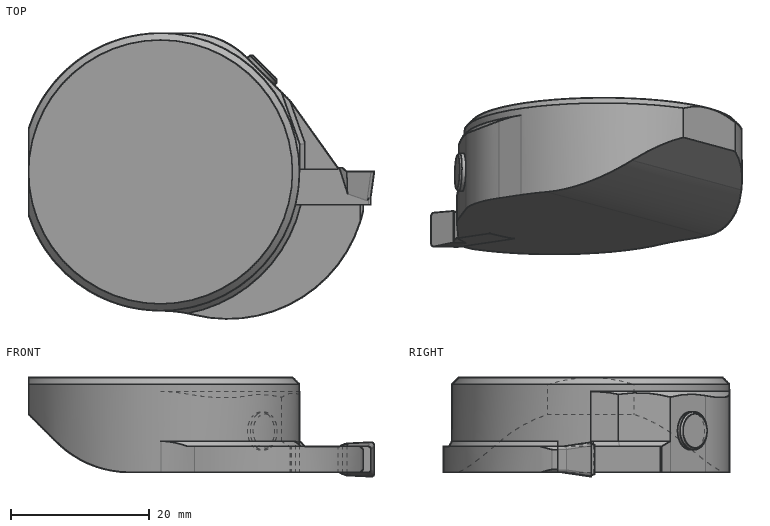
import cadquery as cq
import math

disc_radius = 20.0
disc_height = 13.7
disc_chamfer = 1.0

flat_x = -19.0
flat_bottom_z = 8.4
relief_radius = 15.0

wing_thickness = 3.75
wing_radius = 20.0
wing_low_y = -21.19
wing_end_x = 29.2
wing_end_chamfer = 0.45
wing_back_corner = (25.6, 0.5)
foot_chamfer = 0.75

shoulder_arc_radius = 12.0
shoulder_face_offset = 20.42
shoulder_drop = 1.0
shoulder_bend_x = 18.8
shoulder_wall_x = 20.05
shoulder_wall_top_y = 4.0
shoulder_wall_end = (17.4, 11.5)

boss_diameter = 5.5
boss_height = 0.85
boss_edge_chamfer = 0.3
boss_z = 6.0

shank_low_y = -4.75
shank_high_y = 0.4
shank_end_x = 30.3
shank_corner_radius = 0.4
tip_width = 5.04
tip_end_x = 30.8
tip_back_x = 25.75
tip_shoulder_x = 26.8
tip_shoulder_drop = 0.2
tip_corner_radius = 0.5
rake_y = 0.07
tip_relief_angle = 8.0
rib_top_y = 0.6
rib_left_x = 25.5
rib_right_x = 26.2

mid_z = wing_thickness / 2
diagonal = math.sqrt(0.5)


def chamfered_disc(radius, height, edge_radius):
    """Disc whose top edge slopes at 45 degrees from edge_radius outwards."""
    slope = radius - edge_radius
    return (
        cq.Workplane("XZ")
        .moveTo(0, 0)
        .lineTo(radius, 0)
        .lineTo(radius, height - slope)
        .lineTo(edge_radius, height)
        .lineTo(0, height)
        .close()
        .revolve(360, (0, 0, 0), (0, 1, 0))
    )


wing_center_y = wing_low_y + wing_radius
lead_center_y = -2 * disc_radius
wing_center_x = math.sqrt((disc_radius + wing_radius) ** 2 - (wing_center_y - lead_center_y) ** 2)
lead_turn = math.asin(wing_center_x / (disc_radius + wing_radius))
lead_end = (wing_center_x / 2, (wing_center_y + lead_center_y) / 2)
lead_mid = (
    disc_radius * math.sin(lead_turn / 2),
    lead_center_y + disc_radius * math.cos(lead_turn / 2),
)


def wing_arc_point(angle):
    return (
        wing_center_x + wing_radius * math.cos(angle),
        wing_center_y + wing_radius * math.sin(angle),
    )


wing_end_angle = -math.acos((wing_end_x - wing_center_x) / wing_radius)
wing_start_angle = -math.pi / 2 - lead_turn
shoulder_bend = (shoulder_bend_x, math.sqrt(2) * shoulder_face_offset - shoulder_bend_x)


def make_wing():
    outline = (
        cq.Workplane("XY")
        .moveTo(0, 0)
        .lineTo(0, -disc_radius)
        .threePointArc(lead_mid, lead_end)
        .threePointArc(
            wing_arc_point((wing_start_angle + wing_end_angle) / 2),
            wing_arc_point(wing_end_angle),
        )
        .lineTo(wing_end_x, wing_back_corner[1])
        .lineTo(*wing_back_corner)
        .lineTo(*shoulder_bend)
        .close()
    )
    wing = outline.extrude(wing_thickness)
    return wing.faces(">X").edges("|Y").chamfer(wing_end_chamfer)


def make_foot():
    """Sloped foot between the disc wall and the wing, kept inside the lead-in outline."""
    collar = chamfered_disc(
        disc_radius + foot_chamfer, wing_thickness + foot_chamfer, disc_radius
    )
    outline = (
        cq.Workplane("XY")
        .moveTo(0, 0)
        .lineTo(0, -disc_radius)
        .threePointArc(lead_mid, lead_end)
        .lineTo(2 * disc_radius, lead_end[1])
        .lineTo(2 * disc_radius, 0)
        .close()
        .extrude(disc_height)
    )
    return collar.intersect(outline)


arc_center_y = disc_radius - shoulder_arc_radius
arc_center_x = math.sqrt(2) * (shoulder_face_offset - shoulder_arc_radius) - arc_center_y


def make_shoulder():
    half_turn = math.pi / 8
    outline = (
        cq.Workplane("XY")
        .moveTo(0, 0)
        .lineTo(0, disc_radius)
        .lineTo(arc_center_x, disc_radius)
        .threePointArc(
            (
                arc_center_x + shoulder_arc_radius * math.sin(half_turn),
                arc_center_y + shoulder_arc_radius * math.cos(half_turn),
            ),
            (
                arc_center_x + shoulder_arc_radius * diagonal,
                arc_center_y + shoulder_arc_radius * diagonal,
            ),
        )
        .lineTo(*shoulder_wall_end)
        .lineTo(shoulder_wall_x, shoulder_wall_top_y)
        .lineTo(shoulder_wall_x, 0)
        .close()
    )
    sloped_top = chamfered_disc(
        2 * disc_radius, disc_height - shoulder_drop, disc_radius - disc_chamfer
    )
    return outline.extrude(disc_height).intersect(sloped_top)


def make_shoulder_foot():
    """Sloped foot along the two straight shoulder walls, trimmed by the wing outline."""
    walls = (
        cq.Workplane("XY")
        .moveTo(0, 0)
        .lineTo(shoulder_wall_x, 0)
        .lineTo(shoulder_wall_x, shoulder_wall_top_y)
        .lineTo(*shoulder_wall_end)
        .close()
        .offset2D(foot_chamfer, "intersection")
        .extrude(wing_thickness + foot_chamfer)
        .faces(">Z")
        .edges()
        .chamfer(foot_chamfer)
    )
    trim = (
        cq.Workplane("XY")
        .moveTo(0, 0)
        .lineTo(*wing_back_corner)
        .lineTo(*shoulder_bend)
        .lineTo(*shoulder_wall_end)
        .close()
        .extrude(disc_height)
    )
    return walls.intersect(trim)


def make_boss():
    face = cq.Plane(
        origin=(shoulder_face_offset * diagonal, shoulder_face_offset * diagonal, boss_z),
        xDir=(0, 0, 1),
        normal=(1, 1, 0),
    )
    return (
        cq.Workplane(face)
        .circle(boss_diameter / 2)
        .extrude(boss_height)
        .faces(">(1, 1, 0)")
        .chamfer(boss_edge_chamfer)
        .union(cq.Workplane(face).circle(boss_diameter / 2).extrude(-disc_chamfer))
    )


def make_relief_cut():
    """Removes everything beyond the flat and below the 45 degree slope with its blend arc."""
    arc_start_z = relief_radius * (1 - diagonal)
    arc_start_x = flat_x + flat_bottom_z - arc_start_z
    arc_end_x = arc_start_x + relief_radius * diagonal
    arc_mid = (
        arc_end_x - relief_radius * math.sin(math.pi / 8),
        relief_radius * (1 - math.cos(math.pi / 8)),
    )
    outside_x = -2 * disc_radius
    return (
        cq.Workplane("XZ")
        .moveTo(flat_x, 2 * disc_height)
        .lineTo(flat_x, flat_bottom_z)
        .lineTo(arc_start_x, arc_start_z)
        .threePointArc(arc_mid, (arc_end_x, 0))
        .lineTo(outside_x, 0)
        .lineTo(outside_x, 2 * disc_height)
        .close()
        .extrude(2 * disc_radius, both=True)
    )


def make_shank():
    """Flat shank whose inner end seats on the disc wall."""
    shank = cq.Workplane("XY").box(
        shank_end_x, shank_high_y - shank_low_y, wing_thickness, centered=False
    )
    shank = shank.translate((0, shank_low_y, 0)).faces(">X").edges("|Y").fillet(shank_corner_radius)
    return shank.cut(cq.Workplane("XY").circle(disc_radius).extrude(wing_thickness))


def make_tip():
    """Cutting tip that narrows on every side behind the rake face."""
    growth = (rib_top_y - rake_y) * math.tan(math.radians(tip_relief_angle))
    half = tip_width / 2 + growth
    end_x = tip_end_x + growth
    upper_half = [
        (tip_back_x, wing_thickness / 2),
        (tip_shoulder_x, half - tip_shoulder_drop),
        (end_x, half),
    ]
    lower_half = [(x, -z) for x, z in reversed(upper_half)]
    tip = (
        cq.Workplane("XZ", origin=(0, rib_top_y, mid_z))
        .polyline(upper_half + lower_half)
        .close()
        .extrude(rib_top_y - shank_low_y, taper=tip_relief_angle)
        .faces(">X")
        .edges("not #Y")
        .fillet(tip_corner_radius)
    )
    rib_root = (
        cq.Workplane("XY")
        .moveTo(rib_left_x, 0)
        .lineTo(rib_left_x, rib_top_y)
        .lineTo(rib_right_x, rib_top_y)
        .lineTo(tip_shoulder_x, rake_y)
        .lineTo(tip_shoulder_x, 0)
        .close()
        .extrude(wing_thickness)
    )
    return tip.union(rib_root)


def make_rake_cut():
    """Lowers the +Y side of the insert to the rake face, with a slope up to the rib."""
    return (
        cq.Workplane("XY")
        .moveTo(rib_right_x, rib_top_y)
        .lineTo(tip_shoulder_x, rake_y)
        .lineTo(2 * tip_end_x, rake_y)
        .lineTo(2 * tip_end_x, 2 * rib_top_y)
        .lineTo(rib_right_x, 2 * rib_top_y)
        .close()
        .extrude(2 * tip_width, both=True)
    )


def make_insert_slot():
    """Clears the insert, the foot above it and the wing end beside its rake face."""
    slot_height = wing_thickness + foot_chamfer
    slot = (
        cq.Workplane("XY")
        .moveTo(0, shank_low_y)
        .lineTo(2 * tip_end_x, shank_low_y)
        .lineTo(2 * tip_end_x, rib_top_y)
        .lineTo(rib_left_x, rib_top_y)
        .lineTo(rib_left_x, shank_high_y)
        .lineTo(0, shank_high_y)
        .close()
        .extrude(slot_height)
    )
    return slot.cut(cq.Workplane("XY").circle(disc_radius).extrude(slot_height))


insert = make_shank().union(make_tip()).cut(make_rake_cut())

holder = (
    chamfered_disc(disc_radius, disc_height, disc_radius - disc_chamfer)
    .union(make_wing())
    .union(make_foot())
    .union(make_shoulder())
    .union(make_shoulder_foot())
    .union(make_boss())
    .cut(make_relief_cut())
    .cut(make_insert_slot())
)

result = cq.Compound.makeCompound([holder.solids().val(), insert.solids().val()])